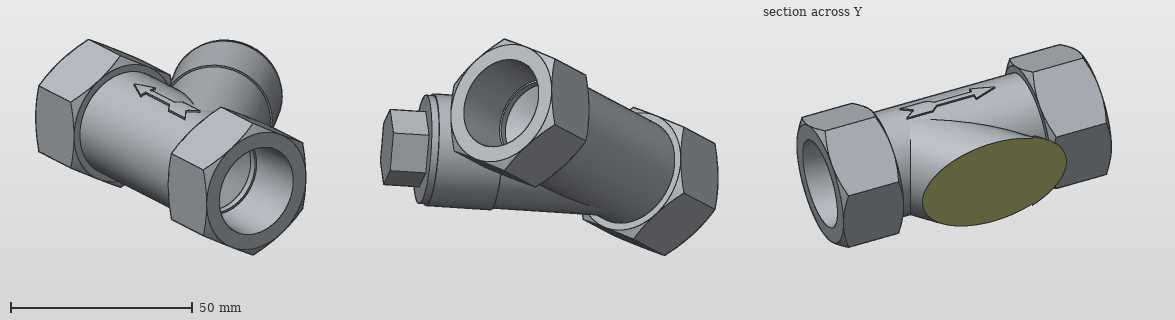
import cadquery as cq
import math

OVERALL_LENGTH = 80.0
PIPE_RADIUS = 15.0

END_HEX_LENGTH = 18.0
END_HEX_FLATS = 34.0
END_CHAMFER_ANGLE = 30.0

SOCKET_MOUTH_RADIUS = 12.65
SOCKET_INNER_RADIUS = 12.05
SOCKET_DEPTH = 16.3
SEAT_BORE_RADIUS = 11.5
SEAT_BORE_LENGTH = 2.0
CONE_TIP_ANGLE = 118.0

BRANCH_ORIGIN_X = 13.0
BRANCH_ANGLE = 45.0
SLEEVE_RADIUS = 15.5
SLEEVE_START = 33.0
SLEEVE_END = 51.0
CAP_RADIUS = 15.0
CAP_END = 53.0
PLUG_END = 63.0
PLUG_FLATS = 18.25

ARROW_HEIGHT = 0.5
ARROW_CENTRE_Y = -2.8
ARROW_HALF_WIDTH = 2.55
ARROW_SHAFT_HALF_WIDTH = 0.85
ARROW_TIP_X = -13.3
ARROW_HEAD_X = -6.75
ARROW_SHAFT_END_X = 4.35
ARROW_FLETCH_X = 6.2
ARROW_NOTCH_X = 10.95
ARROW_TAIL_X = 14.0


def corner_diameter(flats):
    """Diameter across the corners of a hexagon."""
    return flats / math.cos(math.radians(30.0))


def make_end_hex():
    """Hexagon at the -X end, with both faces chamfered conically."""
    start_x = -OVERALL_LENGTH / 2
    end_x = start_x + END_HEX_LENGTH
    face_radius = END_HEX_FLATS / 2
    corner_radius = corner_diameter(END_HEX_FLATS) / 2
    drop = (corner_radius - face_radius) * math.tan(math.radians(END_CHAMFER_ANGLE))
    hexagon = (
        cq.Workplane("YZ", origin=(start_x, 0, 0))
        .transformed(rotate=(0, 0, 90))
        .polygon(6, 2 * corner_radius)
        .extrude(END_HEX_LENGTH)
    )
    envelope = (
        cq.Workplane("XY")
        .moveTo(start_x, 0)
        .lineTo(start_x, face_radius)
        .lineTo(start_x + drop, corner_radius)
        .lineTo(end_x - drop, corner_radius)
        .lineTo(end_x, face_radius)
        .lineTo(end_x, 0)
        .close()
        .revolve(360, (0, 0, 0), (1, 0, 0))
    )
    return hexagon.intersect(envelope)


def make_socket():
    """Cutter for the -X socket: tapered wall, flat seat and cone-ended bore."""
    mouth_x = -OVERALL_LENGTH / 2
    seat_x = mouth_x + SOCKET_DEPTH
    cone_x = seat_x + SEAT_BORE_LENGTH
    cone_length = SEAT_BORE_RADIUS / math.tan(math.radians(CONE_TIP_ANGLE / 2))
    return (
        cq.Workplane("XY")
        .moveTo(mouth_x, 0)
        .lineTo(mouth_x, SOCKET_MOUTH_RADIUS)
        .lineTo(seat_x, SOCKET_INNER_RADIUS)
        .lineTo(seat_x, SEAT_BORE_RADIUS)
        .lineTo(cone_x, SEAT_BORE_RADIUS)
        .lineTo(cone_x + cone_length, 0)
        .close()
        .revolve(360, (0, 0, 0), (1, 0, 0))
    )


def make_branch():
    """Branch barrel, sleeve, cap and hexagonal plug on the inclined axis."""
    angle = math.radians(BRANCH_ANGLE)
    axis_plane = cq.Plane(
        origin=(BRANCH_ORIGIN_X, 0, 0),
        xDir=(math.sin(angle), math.cos(angle), 0),
        normal=(-math.cos(angle), math.sin(angle), 0),
    )

    def section(start):
        return cq.Workplane(axis_plane).workplane(offset=start)

    barrel = section(0).circle(PIPE_RADIUS).extrude(SLEEVE_START)
    sleeve = section(SLEEVE_START).circle(SLEEVE_RADIUS).extrude(SLEEVE_END - SLEEVE_START)
    cap = section(SLEEVE_END).circle(CAP_RADIUS).extrude(CAP_END - SLEEVE_END)
    plug = section(CAP_END).polygon(6, corner_diameter(PLUG_FLATS)).extrude(PLUG_END - CAP_END)
    return barrel.union(sleeve).union(cap).union(plug)


def make_arrow():
    """Flow arrow standing proud of the top of the run pipe, curved with it."""
    upper_side = [
        (ARROW_HEAD_X, ARROW_HALF_WIDTH),
        (ARROW_HEAD_X, ARROW_SHAFT_HALF_WIDTH),
        (ARROW_SHAFT_END_X, ARROW_SHAFT_HALF_WIDTH),
        (ARROW_FLETCH_X, ARROW_HALF_WIDTH),
        (ARROW_TAIL_X, ARROW_HALF_WIDTH),
    ]
    lower_side = [(x, -y) for x, y in reversed(upper_side)]
    outline = [(ARROW_TIP_X, 0), *upper_side, (ARROW_NOTCH_X, 0), *lower_side]
    outer_radius = PIPE_RADIUS + ARROW_HEIGHT
    prism = (
        cq.Workplane("XY", origin=(0, ARROW_CENTRE_Y, SOCKET_MOUTH_RADIUS))
        .polyline(outline)
        .close()
        .extrude(outer_radius - SOCKET_MOUTH_RADIUS)
    )
    shell = cq.Workplane("YZ").circle(outer_radius).extrude(OVERALL_LENGTH / 2, both=True)
    return prism.intersect(shell)


pipe = cq.Workplane("YZ").circle(PIPE_RADIUS).extrude(OVERALL_LENGTH / 2 - END_HEX_LENGTH, both=True)
end_hex = make_end_hex()
socket = make_socket()

body = pipe.union(end_hex).union(end_hex.mirror("YZ")).union(make_branch()).union(make_arrow())
result = body.cut(socket).cut(socket.mirror("YZ"))